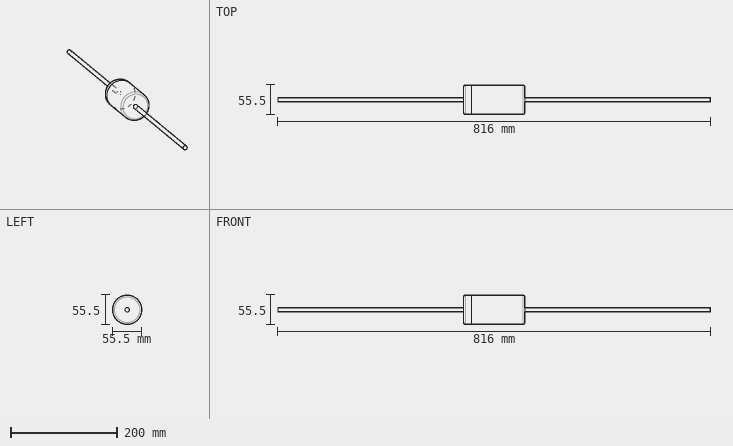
import cadquery as cq

overall_length = 816.0
body_length = 116.0
body_diameter = 55.5
edge_radius = 3.7
cap_length = 15.0
lead_diameter = 8.0

body_radius = body_diameter / 2
lead_length = (overall_length - body_length) / 2
body_start = -body_length / 2
body_end = body_length / 2
cap_end = body_start + cap_length


def rod(start, length, radius):
    """Solid cylinder along +X from the given start position."""
    return cq.Workplane("YZ").workplane(offset=start).circle(radius).extrude(length)


def make_cap():
    """Marking band end of the body, rounded on its outer face."""
    return rod(body_start, cap_length, body_radius).faces("<X").edges().fillet(edge_radius)


def make_housing():
    """Main cylindrical body, rounded on its free end."""
    return rod(cap_end, body_end - cap_end, body_radius).faces(">X").edges().fillet(edge_radius)


def make_lead(start):
    """Straight round wire that butts against an end of the body."""
    return rod(start, lead_length, lead_diameter / 2)


cap = make_cap()
housing = make_housing()
lead_starts = [-overall_length / 2, body_end]
leads = [make_lead(start) for start in lead_starts]

result = cq.Compound.makeCompound([cap.val(), housing.val(), *[lead.val() for lead in leads]])